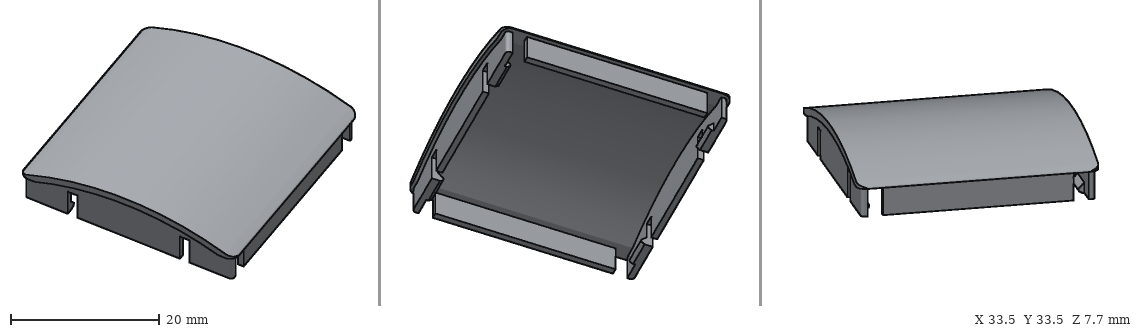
import cadquery as cq

SIDE = 33.5
HEIGHT = 7.7

LID_BASE_Z = 4.1
CROWN_RADIUS = 43.5
LID_THICKNESS = 1.1
LID_CORNER_RADIUS = 1.35
RIM_EDGE_FILLET = 0.25

RIM_OVERHANG = 0.55
WALL_THICKNESS = 0.9
SKIRT_CORNER_RADIUS = 0.5

CLIP_WIDTH = 16.0
CLIP_GAP = 1.5
SIDE_WALL_LENGTH = 26.4

HOOK_WIDTH = 4.0
HOOK_FOOT = 0.3
HOOK_TIP_DEPTH = 1.02
HOOK_TIP_Z = 0.48
HOOK_TIP_RADIUS = 0.35
HOOK_TOP_Z = 1.5
HOOK_START_X = CLIP_WIDTH / 2 + CLIP_GAP

SKIRT_SIDE = SIDE - 2 * RIM_OVERHANG
SKIRT_INSIDE = SKIRT_SIDE - 2 * WALL_THICKNESS
CROWN_AXIS_Z = HEIGHT - CROWN_RADIUS


def crown_cylinder(radius):
    """Cylinder along Y whose upper part gives the dome its curve."""
    return (
        cq.Workplane("XZ")
        .center(0, CROWN_AXIS_Z)
        .circle(radius)
        .extrude(SIDE, both=True)
    )


def rounded_block(side, corner_radius, bottom_z):
    """Square block with rounded upright corners, up to the full height."""
    return (
        cq.Workplane("XY", origin=(0, 0, bottom_z))
        .rect(side, side)
        .extrude(HEIGHT - bottom_z)
        .edges("|Z")
        .fillet(corner_radius)
    )


def make_lid():
    """Curved plate with a flat underside along its left and right rims."""
    slab = (
        cq.Workplane("XY", origin=(0, 0, LID_BASE_Z))
        .rect(SIDE, SIDE)
        .extrude(HEIGHT - LID_BASE_Z)
        .intersect(crown_cylinder(CROWN_RADIUS))
    )
    rim_edges = slab.faces("<X or >X").edges("|Y and (not <Z)")
    slab = slab.newObject(rim_edges.vals()).fillet(RIM_EDGE_FILLET)
    lid = slab.intersect(rounded_block(SIDE, LID_CORNER_RADIUS, LID_BASE_Z))
    return lid.cut(crown_cylinder(CROWN_RADIUS - LID_THICKNESS))


def make_skirt():
    """Four walls reaching up into the dome, split by gaps below the lid."""
    inside = cq.Workplane("XY").rect(SKIRT_INSIDE, SKIRT_INSIDE).extrude(HEIGHT)
    skirt = rounded_block(SKIRT_SIDE, SKIRT_CORNER_RADIUS, 0).cut(inside)
    skirt = skirt.intersect(crown_cylinder(CROWN_RADIUS - LID_THICKNESS / 2))

    clip_gaps = (
        cq.Workplane("XY")
        .pushPoints([(side * (CLIP_WIDTH + CLIP_GAP) / 2, 0) for side in (-1, 1)])
        .rect(CLIP_GAP, SIDE)
        .extrude(LID_BASE_Z)
    )
    corner_gap = (SKIRT_INSIDE - SIDE_WALL_LENGTH) / 2
    corner_gaps = (
        cq.Workplane("XY")
        .pushPoints([(0, side * (SIDE_WALL_LENGTH + corner_gap) / 2) for side in (-1, 1)])
        .rect(SIDE, corner_gap)
        .extrude(LID_BASE_Z)
    )
    return skirt.cut(clip_gaps).cut(corner_gaps)


def make_hook_bar():
    """Hook profile along the inner face of the front wall, pointing to +Y."""
    face_y = -SKIRT_INSIDE / 2
    root_y = face_y - WALL_THICKNESS / 2
    return (
        cq.Workplane("YZ", origin=(HOOK_START_X, 0, 0))
        .moveTo(root_y, 0)
        .lineTo(face_y + HOOK_FOOT, 0)
        .lineTo(face_y + HOOK_TIP_DEPTH, HOOK_TIP_Z)
        .lineTo(face_y, HOOK_TOP_Z)
        .lineTo(root_y, HOOK_TOP_Z)
        .close()
        .extrude(HOOK_WIDTH)
        .edges("|X and >Y")
        .fillet(HOOK_TIP_RADIUS)
    )


def make_hooks():
    """Four hooks, each flush with the outer side of a slot."""
    front_right = make_hook_bar()
    front_pair = front_right.union(front_right.mirror("YZ"))
    return front_pair.union(front_pair.mirror("XZ"))


result = make_lid().union(make_skirt()).union(make_hooks())